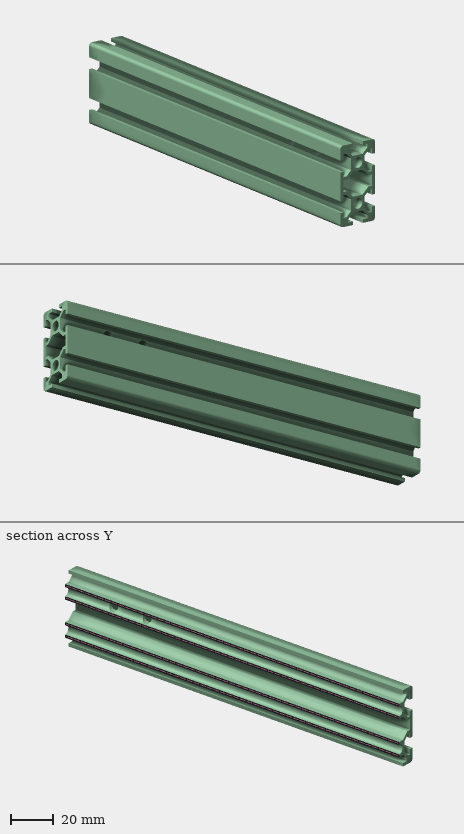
import cadquery as cq

length = 200.0
width = 20.0
height = 2 * width
edge_radius = 1.5

slot_opening = 5.8
slot_inner_width = 11.2
lip_thickness = 1.8
core_width = 7.8
slot_depth = (width - core_width) / 2
slot_wall_end = slot_depth - (slot_inner_width - slot_opening) / 2

cell_offset = width / 2
bore_diameter = 5.2
cavity_half_width = width / 2 - lip_thickness
cavity_side_half_height = 2.8
cavity_half_height = cell_offset - core_width / 2
cavity_top_half_width = 2.8
cavity_shoulder = cavity_top_half_width + cavity_half_height - cavity_side_half_height

cross_hole_diameter = 5.2
cross_hole_spacing = 20.0
last_hole_end_distance = 27.2


def extrude_section(points):
    """Run a closed outline of (y, z) points along the full length."""
    return cq.Workplane("YZ").polyline(points).close().extrude(length / 2, both=True)


def t_slot(angle, cell_z):
    """T-slot cutter for one face of a square cell; angle zero opens upward."""
    face = width / 2
    right_side = [
        (slot_opening / 2, face),
        (slot_opening / 2, face - lip_thickness),
        (slot_inner_width / 2, face - lip_thickness),
        (slot_inner_width / 2, face - slot_wall_end),
        (slot_opening / 2, face - slot_depth),
    ]
    left_side = [(-y, z) for y, z in reversed(right_side)]
    cutter = extrude_section(right_side + left_side)
    return cutter.rotate((0, 0, 0), (1, 0, 0), angle).translate((0, 0, cell_z))


def central_cavity():
    """Closed chamber between the two cells, with 45 degree corners."""
    upper = [
        (cavity_half_width, cavity_side_half_height),
        (cavity_shoulder, cavity_side_half_height),
        (cavity_top_half_width, cavity_half_height),
    ]
    upper += [(-y, z) for y, z in reversed(upper)]
    lower = [(-y, -z) for y, z in upper]
    return extrude_section(upper + lower)


result = cq.Workplane("XY").box(length, width, height).edges("|X").fillet(edge_radius)

for cell_z, end_angle in ((cell_offset, 0), (-cell_offset, 180)):
    for angle in (90, -90, end_angle):
        result = result.cut(t_slot(angle, cell_z))

result = result.cut(central_cavity())

bores = (
    cq.Workplane("YZ")
    .pushPoints([(0, cell_offset), (0, -cell_offset)])
    .circle(bore_diameter / 2)
    .extrude(length / 2, both=True)
)
result = result.cut(bores)

last_hole_x = length / 2 - last_hole_end_distance
cross_holes = (
    cq.Workplane("XZ")
    .pushPoints([(last_hole_x - i * cross_hole_spacing, cell_offset) for i in range(2)])
    .circle(cross_hole_diameter / 2)
    .extrude(width / 2, both=True)
)
result = result.cut(cross_holes)